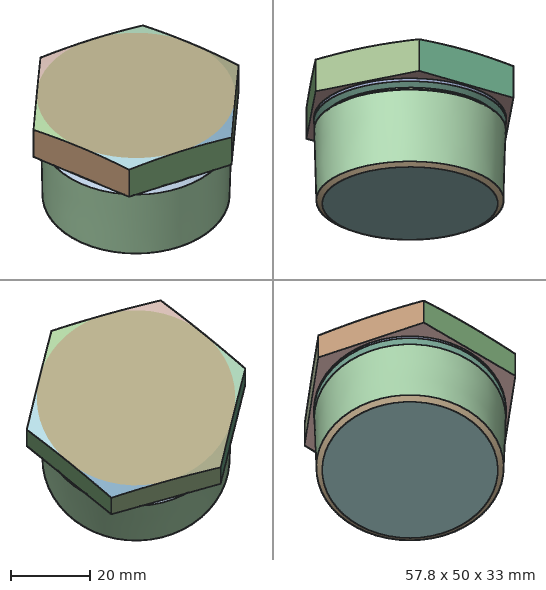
import cadquery as cq
import math

across_corners = 57.75
across_flats = across_corners * math.cos(math.radians(30))
total_height = 33.0

head_height = 9.45
head_chamfer_angle = 10.0
head_bottom = total_height - head_height

collar_radius = 24.25
collar_bottom = head_bottom - 0.8

groove_radius = 22.65
groove_top = 21.75
groove_bottom = 21.3

plug_top = 20.45
plug_top_radius = 24.15
plug_bottom_radius = 23.6
end_chamfer_height = 0.85
end_radius = 22.1


def revolve_profile(points):
    """Turn a closed (radius, height) profile about the Z axis."""
    return cq.Workplane("XZ").polyline(points).close().revolve(360, (0, 0), (0, 1))


def make_head():
    """Hexagonal prism trimmed by a shallow cone that meets the top at the flats."""
    prism = cq.Workplane("XY").workplane(offset=head_bottom).polygon(6, across_corners).extrude(head_height)
    flat_radius = across_flats / 2
    cone_radius = across_corners
    cone_drop = (cone_radius - flat_radius) * math.tan(math.radians(head_chamfer_angle))
    envelope = revolve_profile([
        (0, 0),
        (cone_radius, 0),
        (cone_radius, total_height - cone_drop),
        (flat_radius, total_height),
        (0, total_height),
    ])
    return prism.intersect(envelope)


def make_plug():
    """Collar, relief groove and tapered plug as one turned body."""
    return revolve_profile([
        (0, 0),
        (end_radius, 0),
        (plug_bottom_radius, end_chamfer_height),
        (plug_top_radius, plug_top),
        (groove_radius, groove_bottom),
        (groove_radius, groove_top),
        (collar_radius, collar_bottom),
        (collar_radius, head_bottom),
        (0, head_bottom),
    ])


result = make_head().union(make_plug())